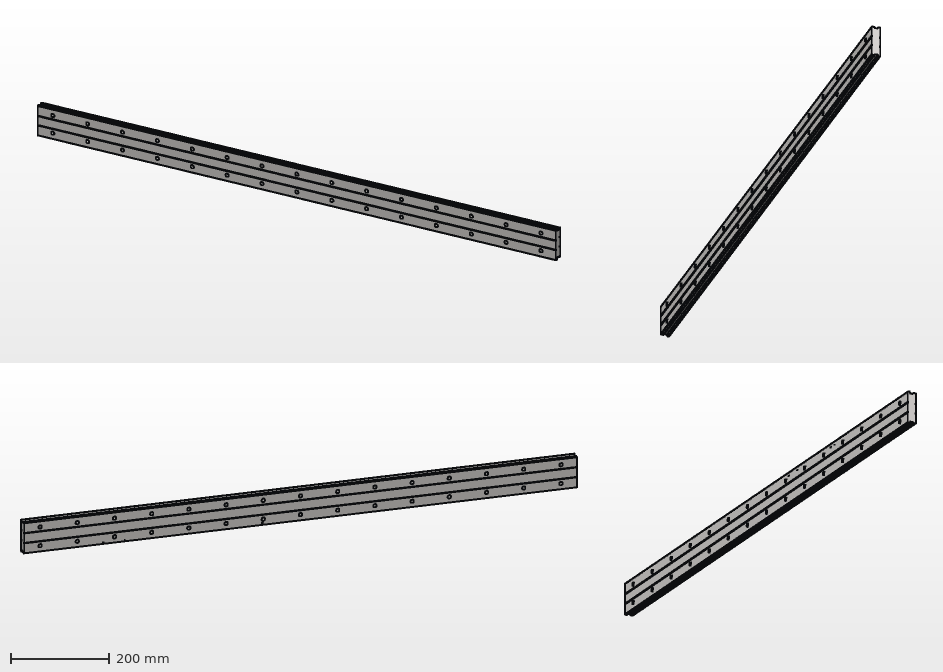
import cadquery as cq
import math

length = 1190.0
thickness = 19.0
height = 69.0

edge_chamfer = 1.0

slot_floor_front = -4.0
slot_floor_back = 1.7
slot_depth = 4.0
slot_front_wall_angle = 30
slot_back_wall_angle = 45

back_lip_drop = 1.0

groove_spacing = 21.0
groove_width = 1.0
groove_depth = 1.0

hole_count = 15
hole_end_margin = 35.0
hole_row_spacing = 40.0
hole_diameter = 7.3


def bar_profile():
    """Cross-section of the bar: the upper half, mirrored to the lower half."""
    front = -thickness / 2
    back = thickness / 2
    front_lip = height / 2
    back_lip = front_lip - back_lip_drop
    slot_floor = front_lip - slot_depth
    mouth_front = slot_floor_front - slot_depth * math.tan(math.radians(slot_front_wall_angle))
    mouth_back = slot_floor_back + (slot_depth - back_lip_drop) * math.tan(math.radians(slot_back_wall_angle))
    upper_half = [
        (front, front_lip - edge_chamfer),
        (front + edge_chamfer, front_lip),
        (mouth_front, front_lip),
        (slot_floor_front, slot_floor),
        (slot_floor_back, slot_floor),
        (mouth_back, back_lip),
        (back - edge_chamfer, back_lip),
        (back, back_lip - edge_chamfer),
    ]
    lower_half = [(y, -z) for y, z in reversed(upper_half)]
    return cq.Workplane("YZ").polyline(upper_half + lower_half).close()


def face_grooves():
    """Full-length grooves, two in each broad face."""
    return (
        cq.Workplane("YZ")
        .rarray(thickness, groove_spacing, 2, 2)
        .rect(2 * groove_depth, groove_width)
        .extrude(length / 2, both=True)
    )


def mounting_holes():
    hole_pitch = (length - 2 * hole_end_margin) / (hole_count - 1)
    return (
        cq.Workplane("XZ")
        .rarray(hole_pitch, hole_row_spacing, hole_count, 2)
        .circle(hole_diameter / 2)
        .extrude(thickness, both=True)
    )


bar = bar_profile().extrude(length / 2, both=True)
result = bar.cut(face_grooves()).cut(mounting_holes())